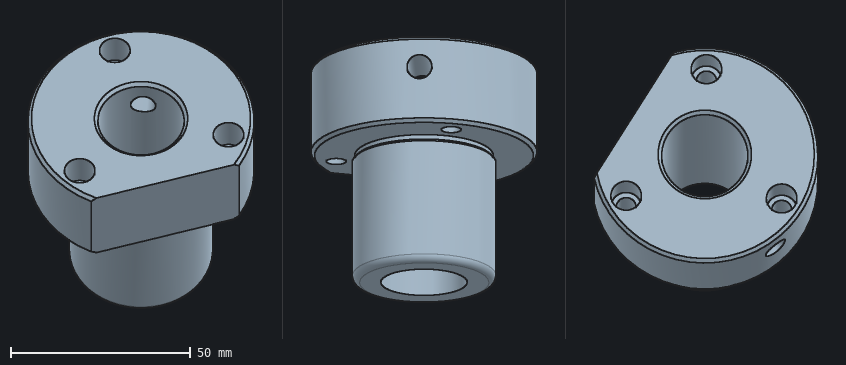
import cadquery as cq
import math

FLANGE_RADIUS = 31.5
FLANGE_HEIGHT = 25.0
FLANGE_CHAMFER = 1.0
FLAT_X = 23.0

SHANK_RADIUS = 20.0
SHANK_LENGTH = 37.0
SHANK_END_FILLET = 2.0
GROOVE_DEPTH = 0.7
GROOVE_WIDTH = 2.0

BORE_RADIUS = 12.0
BORE_CHAMFER = 1.0

SCREW_CIRCLE_RADIUS = 25.0
SCREW_ANGLES = (60.0, 180.0, 300.0)
SCREW_DIAMETER = 5.5
COUNTERBORE_DIAMETER = 8.5
COUNTERBORE_DEPTH = 10.0

SIDE_HOLE_DIAMETER = 6.917
SIDE_HOLE_ANGLE = 160.0
SIDE_HOLE_DROP = 9.0
SIDE_HOLE_Z = FLANGE_HEIGHT - SIDE_HOLE_DROP


def make_flange():
    """Chamfered disc, cut flat on the +X side."""
    disc = cq.Workplane("XY").circle(FLANGE_RADIUS).extrude(FLANGE_HEIGHT)
    disc = disc.edges().chamfer(FLANGE_CHAMFER)
    kept_length = FLANGE_RADIUS + FLAT_X
    kept_side = cq.Workplane("XY").box(
        kept_length, 2 * FLANGE_RADIUS, FLANGE_HEIGHT, centered=(False, True, False)
    )
    return disc.intersect(kept_side.translate((-FLANGE_RADIUS, 0, 0)))


def make_shank():
    """Revolved shank with a rounded end and a groove that runs out at 45 degrees."""
    groove_radius = SHANK_RADIUS - GROOVE_DEPTH
    profile = (
        cq.Workplane("XZ")
        .moveTo(0, 0)
        .lineTo(groove_radius, 0)
        .lineTo(groove_radius, GROOVE_DEPTH - GROOVE_WIDTH)
        .lineTo(SHANK_RADIUS, -GROOVE_WIDTH)
        .lineTo(SHANK_RADIUS, -SHANK_LENGTH)
        .lineTo(0, -SHANK_LENGTH)
        .close()
    )
    shank = profile.revolve(360, (0, 0, 0), (0, 1, 0))
    return shank.faces("<Z").edges().fillet(SHANK_END_FILLET)


def cut_bore(body):
    """Cut the through bore and chamfer its upper mouth."""
    bore = (
        cq.Workplane("XY", origin=(0, 0, -SHANK_LENGTH))
        .circle(BORE_RADIUS)
        .extrude(SHANK_LENGTH + FLANGE_HEIGHT)
    )
    mouth = (
        cq.Workplane("XY", origin=(0, 0, FLANGE_HEIGHT))
        .circle(BORE_RADIUS + BORE_CHAMFER)
        .workplane(offset=-BORE_CHAMFER)
        .circle(BORE_RADIUS)
        .loft()
    )
    return body.cut(bore).cut(mouth)


def cut_screw_holes(body):
    """Cut the counterbored holes through the flange from its top face."""
    centres = [
        (
            SCREW_CIRCLE_RADIUS * math.cos(math.radians(angle)),
            SCREW_CIRCLE_RADIUS * math.sin(math.radians(angle)),
        )
        for angle in SCREW_ANGLES
    ]
    return (
        body.faces(">Z")
        .workplane(origin=(0, 0, FLANGE_HEIGHT))
        .pushPoints(centres)
        .cboreHole(SCREW_DIAMETER, COUNTERBORE_DIAMETER, COUNTERBORE_DEPTH, FLANGE_HEIGHT)
    )


def cut_side_hole(body):
    """Cut the radial hole from the bore out through the flange rim."""
    hole = (
        cq.Workplane("YZ")
        .center(0, SIDE_HOLE_Z)
        .circle(SIDE_HOLE_DIAMETER / 2)
        .extrude(FLANGE_RADIUS)
        .rotate((0, 0, 0), (0, 0, 1), SIDE_HOLE_ANGLE)
    )
    return body.cut(hole)


body = make_flange().union(make_shank())
body = cut_bore(body)
body = cut_screw_holes(body)
result = cut_side_hole(body)